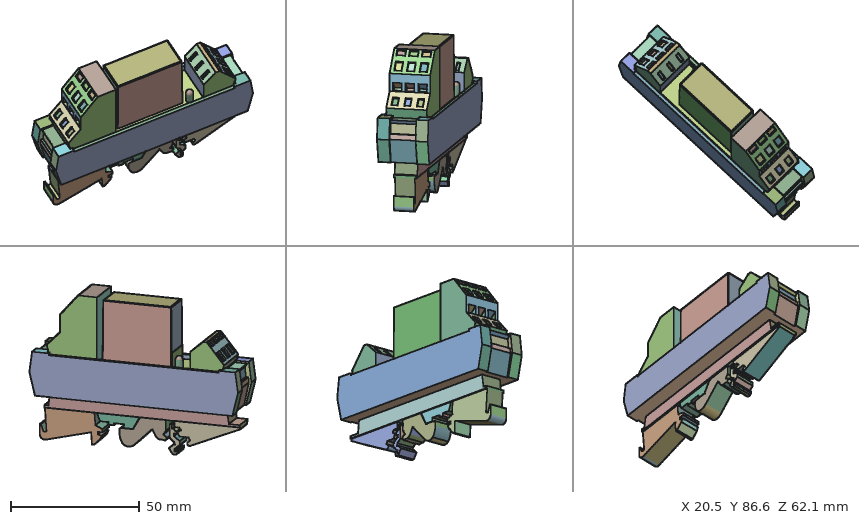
import cadquery as cq
length = 86.6
housing_width = 20.5
cut_margin = 0.9
base_width = 9.2
foot_width = 8.05
terminal_width = 16.4

flange_bottom = 13.85
flange_top = 14.9
housing_bottom = 20.1
housing_waist = 29.6
floor_top = 35.5
rim_top = 37.15
post_top = 37.9

housing_bottom_length = 81.9
housing_top_length = 84.35
rim_length = 70.5
pocket_width = 17.6
pocket_length = 72.75
groove_bottom = 34.6
end_recess_width = 10.65
end_ledge = 31.7
end_lip_y = 41.5
end_lip_bottom = 35.8
end_lip_depth = 0.9
end_ledge_root_y = 41.0
end_ledge_y = 42.0
end_waist_y = 42.3
end_bottom_y = 40.2

base_top_length = 73.4
base_bottom_length = 75.0
flange_back = 42.0
flange_front = -39.1

column_pitch = 5.1
screw_opening_width = 3.55
wire_opening_width = 2.95
low_wire_opening_width = 2.4
test_slot_width = 1.3
opening_depth = 0.9

front_screw_row = (-24.25, -25.9)
front_wire_row = (-27.7, -30.4)
front_low_wire_row = (-33.25, -35.8)
rear_wire_row = (35.9, 33.25)
rear_screw_row = (31.3, 29.8)
rear_test_row = (26.3, 23.4)

relay_length = 28.75
relay_width = 12.9
relay_draft_angle = 0.4
relay_top = 60.6
relay_edge = 0.3
relay_top_edge = 0.4
collar_width = 12.1
collar_length = 28.9
collar_top = 41.9

lamp_x = 6.2
lamp_y = 17.5
lamp_radius = 1.5
lamp_shoulder = 39.8
lamp_top = 41.1


def prism(points, width, x_center=0.0):
    """Outline of (y, z) points, extruded to a width centred on x_center."""
    profile = cq.Workplane("YZ", origin=(x_center, 0, 0)).polyline(points).close()
    return profile.extrude(width / 2, both=True)


def block(width, depth, z_low, z_high):
    """Box centred on X and Y between two levels."""
    return cq.Workplane("XY", origin=(0, 0, z_low)).rect(width, depth).extrude(z_high - z_low)


def both_ends(half_outline):
    """Outline mirrored in Y, from the points of its +Y half listed bottom to top."""
    return half_outline + [(-y, z) for y, z in reversed(half_outline)]


def make_housing():
    body = prism(
        both_ends([
            (housing_bottom_length / 2, housing_bottom),
            (length / 2, housing_waist),
            (housing_top_length / 2, post_top),
            (rim_length / 2, post_top),
            (rim_length / 2, rim_top),
        ]),
        housing_width,
    )
    full_strip = block(end_recess_width, length + cut_margin, housing_bottom, post_top)
    kept_strip = prism(
        both_ends([
            (end_bottom_y, housing_bottom),
            (end_waist_y, housing_waist),
            (end_ledge_y, end_ledge),
            (end_ledge_root_y, end_ledge),
            (end_lip_y - end_lip_depth, end_lip_bottom),
            (end_lip_y, rim_top),
        ]),
        end_recess_width,
    )
    body = body.cut(full_strip.cut(kept_strip))
    body = body.cut(block(pocket_width, pocket_length, groove_bottom, post_top))
    return body.union(block(terminal_width, pocket_length, groove_bottom, floor_top))


front_block_back = -15.9
front_slope_top = (-23.9, 62.1)
front_slope_bottom = (-31.35, 53.6)
front_step = (-31.35, 46.5)
front_nose = (-36.8, 40.9)
rear_nose = (36.8, 39.75)
rear_slope_top = (29.6, 48.4)
rear_test_top = (28.0, 48.4)
rear_test_bottom = (22.7, 43.8)
undercut_y = 35.9
wedge_top = 50.0
wedge_inner_corner = (-28.5, 47.5)
wedge_floor_end_y = -29.4


def opening_row(start, end, edge_places, width):
    """Three openings sunk squarely into the sloping face from start to end.

    edge_places are the Y places, on that face, of the two edges of the openings.
    The material lies to the left when going from start to end.
    """
    dy, dz = end[0] - start[0], end[1] - start[1]
    face_length = (dy**2 + dz**2) ** 0.5
    sink = (-dz / face_length * opening_depth, dy / face_length * opening_depth)
    edges = [(y, start[1] + dz * (y - start[0]) / dy) for y in edge_places]
    floor = [(y + sink[0], z + sink[1]) for y, z in reversed(edges)]
    return in_columns(edges + floor, width)


def in_columns(outline, width):
    """The same cut repeated in the three terminal columns."""
    cutter = prism(outline, width, -column_pitch)
    for x_center in (0.0, column_pitch):
        cutter = cutter.union(prism(outline, width, x_center))
    return cutter


def make_front_terminals():
    body = prism(
        [
            (front_block_back, groove_bottom),
            (front_block_back, front_slope_top[1]),
            front_slope_top,
            front_slope_bottom,
            front_step,
            front_nose,
            (-undercut_y, rim_top),
            (-undercut_y, groove_bottom),
        ],
        terminal_width,
    )
    upper_face = (front_slope_top, front_slope_bottom)
    body = body.cut(opening_row(*upper_face, front_screw_row, screw_opening_width))
    body = body.cut(opening_row(*upper_face, front_wire_row, wire_opening_width))
    body = body.cut(opening_row(front_step, front_nose, front_low_wire_row, low_wire_opening_width))
    step_y, step_z = front_step
    wedge = [
        (step_y, step_z),
        (step_y, wedge_top),
        wedge_inner_corner,
        (wedge_floor_end_y, step_z),
    ]
    return body.cut(in_columns(wedge, screw_opening_width))


def make_rear_terminals():
    body = prism(
        [
            (rear_test_bottom[0], groove_bottom),
            rear_test_bottom,
            rear_test_top,
            rear_slope_top,
            rear_nose,
            (undercut_y, rim_top),
            (undercut_y, groove_bottom),
        ],
        terminal_width,
    )
    outer_face = (rear_nose, rear_slope_top)
    body = body.cut(opening_row(*outer_face, rear_wire_row, wire_opening_width))
    body = body.cut(opening_row(*outer_face, rear_screw_row, screw_opening_width))
    return body.cut(opening_row(rear_test_top, rear_test_bottom, rear_test_row, test_slot_width))


def make_relay():
    collar = block(collar_width, collar_length, groove_bottom, collar_top)
    body = (
        cq.Workplane("XY", origin=(0, 0, groove_bottom))
        .rect(relay_width, relay_length)
        .extrude(relay_top - groove_bottom, taper=relay_draft_angle)
        .edges("not (#Z or |X or |Y)")
        .chamfer(relay_edge)
        .faces(">Z")
        .chamfer(relay_edge, relay_top_edge)
    )
    return collar.union(body)


def make_lamp():
    outline = (
        cq.Workplane("YZ", origin=(lamp_x, lamp_y, 0))
        .moveTo(0, groove_bottom)
        .lineTo(lamp_radius, groove_bottom)
        .lineTo(lamp_radius, lamp_shoulder)
    )
    cap_height = lamp_top - lamp_shoulder
    cap_radius = (lamp_radius**2 + cap_height**2) / (2 * cap_height)
    cap_center = lamp_top - cap_radius
    middle_r = lamp_radius / 2
    middle_z = cap_center + (cap_radius**2 - middle_r**2) ** 0.5
    outline = outline.threePointArc((middle_r, middle_z), (0, lamp_top)).close()
    return outline.revolve(360, (0, 0, 0), (0, 1, 0))


def make_base():
    return prism(
        [
            (flange_front, flange_bottom),
            (flange_back, flange_bottom),
            (flange_back, flange_top),
            (base_bottom_length / 2, flange_top),
            (base_top_length / 2, housing_bottom),
            (-base_top_length / 2, housing_bottom),
            (-base_bottom_length / 2, flange_top),
            (flange_front, flange_top),
        ],
        base_width,
    )


def make_rear_foot():
    """Long wedge with a thin zigzag spring hanging from its inner corner."""
    outline = (
        cq.Workplane("YZ")
        .moveTo(flange_back, flange_bottom)
        .lineTo(flange_back, 13.0)
        .lineTo(21.2, 4.2)
        .threePointArc((20.2, 4.4), (20.1, 5.5))
        .lineTo(21.1, 6.4)
        .lineTo(20.4, 7.5)
        .lineTo(16.8, 7.5)
        .lineTo(15.85, 9.2)
        .lineTo(17.4, 10.1)
        .lineTo(16.6, 11.2)
        .lineTo(14.6, 11.2)
        .lineTo(14.6, 12.0)
        .lineTo(13.7, 12.0)
        .lineTo(13.7, 10.5)
        .lineTo(14.3, 10.5)
        .lineTo(15.4, 9.35)
        .lineTo(15.4, 8.6)
        .lineTo(14.5, 8.6)
        .lineTo(14.5, 7.5)
        .lineTo(16.9, 5.7)
        .lineTo(16.9, 3.9)
        .lineTo(14.7, 2.25)
        .lineTo(14.6, 1.2)
        .lineTo(15.0, 1.2)
        .lineTo(15.3, 1.65)
        .lineTo(15.85, 1.65)
        .lineTo(15.85, 0.8)
        .lineTo(15.4, 0.0)
        .lineTo(14.0, 0.0)
        .lineTo(12.4, 2.3)
        .lineTo(13.9, 3.9)
        .lineTo(14.9, 4.0)
        .lineTo(14.5, 5.0)
        .lineTo(12.7, 6.5)
        .lineTo(12.7, 12.1)
        .lineTo(13.25, 12.6)
        .lineTo(14.6, 12.6)
        .lineTo(14.6, flange_bottom)
        .close()
    )
    return outline.extrude(foot_width / 2, both=True)


def make_middle_hook():
    """Hook with a small claw at the rear and a large round toe at the front."""
    outline = (
        cq.Workplane("YZ")
        .moveTo(11.2, flange_bottom)
        .lineTo(11.2, 9.35)
        .lineTo(10.05, 7.7)
        .lineTo(11.7, 6.6)
        .lineTo(10.8, 5.3)
        .lineTo(9.8, 5.5)
        .lineTo(8.5, 5.5)
        .threePointArc((7.5, 6.1), (6.8, 6.8))
        .lineTo(5.45, 9.4)
        .lineTo(-1.7, 2.5)
        .threePointArc((-4.5, 1.3), (-6.6, 2.1))
        .threePointArc((-7.6, 3.8), (-8.1, 6.6))
        .lineTo(-8.1, 8.05)
        .threePointArc((-8.0, 8.4), (-7.6, 8.6))
        .lineTo(-2.5, 8.6)
        .lineTo(0.6, flange_bottom)
        .close()
    )
    return outline.extrude(foot_width / 2, both=True)


def make_rail_stop():
    """Stepped pad resting on the rail, split from the hook by a thin slit."""
    return prism(
        [
            (0.35, flange_bottom),
            (-2.5, 8.75),
            (-6.2, 8.75),
            (-6.2, 10.2),
            (-10.5, 10.2),
            (-10.5, 9.35),
            (-12.6, 9.35),
            (-12.6, 10.5),
            (-16.2, 10.5),
            (-17.5, flange_bottom),
        ],
        foot_width,
    )


def make_front_foot():
    """Rail claw at its inner end and an upturned release lip at its outer end."""
    outline = (
        cq.Workplane("YZ")
        .moveTo(-18.5, flange_bottom)
        .lineTo(-18.1, 8.7)
        .lineTo(-15.15, 7.4)
        .lineTo(-15.15, 6.1)
        .lineTo(-17.1, 6.1)
        .lineTo(-17.1, 5.0)
        .lineTo(-15.5, 4.7)
        .lineTo(-16.2, 3.1)
        .lineTo(-18.7, 0.6)
        .lineTo(-19.6, 0.6)
        .lineTo(-19.9, 5.5)
        .lineTo(-38.6, 0.7)
        .threePointArc((-40.5, 1.2), (-41.2, 2.8))
        .lineTo(-41.2, 6.8)
        .lineTo(-40.7, 6.8)
        .lineTo(-39.8, 4.4)
        .threePointArc((-39.1, 3.9), (-38.4, 4.5))
        .lineTo(flange_front, flange_bottom)
        .close()
    )
    return outline.extrude(foot_width / 2, both=True)


result = make_housing()
for piece in (
    make_front_terminals(),
    make_rear_terminals(),
    make_relay(),
    make_lamp(),
    make_base(),
    make_rear_foot(),
    make_middle_hook(),
    make_rail_stop(),
    make_front_foot(),
):
    result = result.union(piece)